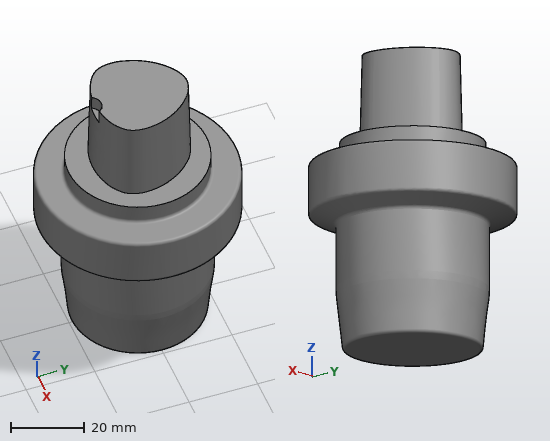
import cadquery as cq
import math

TOTAL_HEIGHT = 82.0
COLLAR_TOP = 58.0
FLANGE_TOP = 52.1
FLANGE_LOWER_EDGE = 37.7
TAPER_TOP = 15.8

FLANGE_RADIUS = 57.0 / 2
COLLAR_RADIUS = 40.0 / 2
SHAFT_RADIUS = 42.0 / 2
FLANGE_CONE_ANGLE = 20.0
TAPER_ANGLE = 6.5
EDGE_ROUND = 1.0
FLANGE_LOWER_ROUND = 1.0
SHAFT_ROOT_ROUND = 1.0
TAPER_BLEND_RADIUS = 20.0

SHANK_BASE_WIDTH = 28.05
SHANK_TAPER_RATIO = 1 / 20
LOBE_ECCENTRICITY = 0.9
LOBE_COUNT = 3
FACE_COUNT = 2 * LOBE_COUNT
POINTS_PER_FACE = 7

NOTCH_RADIUS = 3.3
NOTCH_CENTRE_Y = -13.9
NOTCH_DEPTH = 4.1


def make_body():
    """Revolve the collar, flange, shaft and tapered end, then round the edges."""
    cone_drop = (FLANGE_RADIUS - SHAFT_RADIUS) * math.tan(math.radians(FLANGE_CONE_ANGLE))
    shaft_top = FLANGE_LOWER_EDGE - cone_drop
    end_radius = SHAFT_RADIUS - TAPER_TOP * math.tan(math.radians(TAPER_ANGLE))
    body = (
        cq.Workplane("XZ")
        .polyline([
            (0, 0),
            (end_radius, 0),
            (SHAFT_RADIUS, TAPER_TOP),
            (SHAFT_RADIUS, shaft_top),
            (FLANGE_RADIUS, FLANGE_LOWER_EDGE),
            (FLANGE_RADIUS, FLANGE_TOP),
            (COLLAR_RADIUS, FLANGE_TOP),
            (COLLAR_RADIUS, COLLAR_TOP),
            (0, COLLAR_TOP),
        ])
        .close()
        .revolve(360, (0, 0, 0), (0, 1, 0))
    )
    rounds = [
        (end_radius, 0, EDGE_ROUND),
        (SHAFT_RADIUS, TAPER_TOP, TAPER_BLEND_RADIUS),
        (SHAFT_RADIUS, shaft_top, SHAFT_ROOT_ROUND),
        (FLANGE_RADIUS, FLANGE_LOWER_EDGE, FLANGE_LOWER_ROUND),
        (FLANGE_RADIUS, FLANGE_TOP, EDGE_ROUND),
        (COLLAR_RADIUS, FLANGE_TOP, EDGE_ROUND),
    ]
    for edge_radius, height, round_radius in rounds:
        body = round_circle(body, edge_radius, height, round_radius)
    return body


def round_circle(body, edge_radius, height, round_radius):
    """Fillet the circular edge of the given radius and height."""
    tolerance = 0.01
    reach = edge_radius + tolerance
    inner = edge_radius - tolerance
    edges = body.edges(cq.selectors.BoxSelector(
        (-reach, -reach, height - tolerance),
        (reach, reach, height + tolerance),
        boundingbox=True,
    )).edges("%CIRCLE")
    edges = edges.filter(lambda edge: edge.radius() > inner)
    return edges.fillet(round_radius)


def lobe_point(width, height, angle):
    """Point of the constant-width lobed curve whose outward normal is at angle."""
    phase = LOBE_COUNT * (angle - math.pi / 2)
    support = width / 2 + LOBE_ECCENTRICITY * math.cos(phase)
    slope = -LOBE_COUNT * LOBE_ECCENTRICITY * math.sin(phase)
    return cq.Vector(
        support * math.cos(angle) - slope * math.sin(angle),
        support * math.sin(angle) + slope * math.cos(angle),
        height,
    )


def lobed_wire(width, height):
    """Closed outline of alternating lobe and flank curves, tangent at the joints."""
    face_angle = 2 * math.pi / FACE_COUNT
    edges = []
    for face in range(FACE_COUNT):
        start = face * face_angle
        angles = [start + face_angle * i / (POINTS_PER_FACE - 1) for i in range(POINTS_PER_FACE)]
        points = [lobe_point(width, height, angle) for angle in angles]
        end_tangents = [cq.Vector(-math.sin(a), math.cos(a), 0) for a in (angles[0], angles[-1])]
        edges.append(cq.Edge.makeSpline(points, tangents=end_tangents))
    return cq.Wire.assembleEdges(edges)


def make_shank():
    """Taper the lobed outline from the collar up to the top face."""
    top_width = SHANK_BASE_WIDTH - SHANK_TAPER_RATIO * (TOTAL_HEIGHT - COLLAR_TOP)
    base = lobed_wire(SHANK_BASE_WIDTH, COLLAR_TOP)
    top = lobed_wire(top_width, TOTAL_HEIGHT)
    return cq.Workplane(cq.Solid.makeLoft([base, top], True))


def make_notch():
    """Cylindrical cutter that opens the notch through the top and -Y side."""
    return (
        cq.Workplane("XY", origin=(0, NOTCH_CENTRE_Y, TOTAL_HEIGHT - NOTCH_DEPTH))
        .circle(NOTCH_RADIUS)
        .extrude(NOTCH_DEPTH)
    )


result = make_body().union(make_shank()).cut(make_notch())